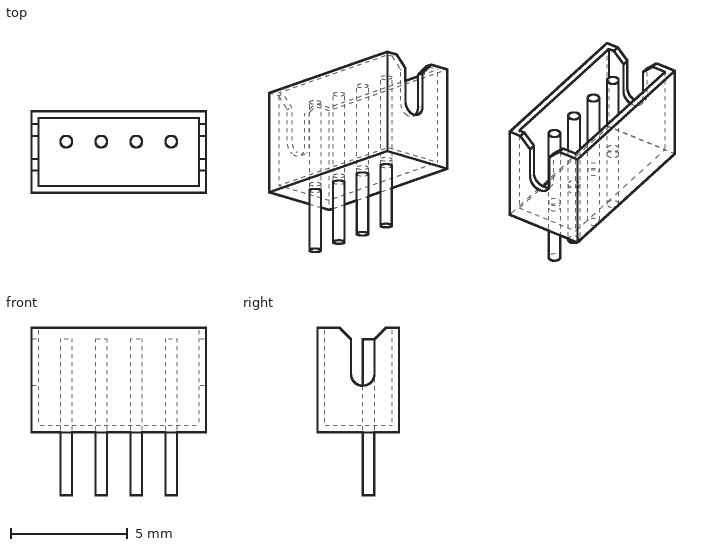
import cadquery as cq

length = 7.5
width = 3.5
height = 4.5
wall = 0.3
floor_thickness = wall

slot_width = 1.0
slot_depth = 2.5
slot_chamfer = 0.5
slot_y = 0.195

pin_count = 4
pin_pitch = 1.5
pin_diameter = 0.5
pin_tail = 2.7
pin_top_gap = 0.5
pin_y = slot_y + slot_width / 2 - pin_diameter / 2
pin_length = pin_tail + height - pin_top_gap
pin_positions = [((i - (pin_count - 1) / 2) * pin_pitch, pin_y) for i in range(pin_count)]


def make_pin(x, y):
    """A plain cylinder that passes through the housing floor."""
    return cq.Workplane("XY", origin=(x, y, -pin_tail)).circle(pin_diameter / 2).extrude(pin_length)


def make_slot_cutter():
    """Round-bottomed slot with a chamfered mouth, running along the whole length."""
    half_width = slot_width / 2
    mouth_half_width = half_width + slot_chamfer
    slot_bottom = height - slot_depth
    arc_ends_z = slot_bottom + half_width
    chamfer_z = height - slot_chamfer
    return (
        cq.Workplane("YZ", origin=(0, slot_y, 0))
        .moveTo(-mouth_half_width, height)
        .lineTo(-half_width, chamfer_z)
        .lineTo(-half_width, arc_ends_z)
        .threePointArc((0, slot_bottom), (half_width, arc_ends_z))
        .lineTo(half_width, chamfer_z)
        .lineTo(mouth_half_width, height)
        .close()
        .extrude(length / 2, both=True)
    )


def make_housing():
    """Box with a rectangular cavity, slotted end walls and pin holes in the floor."""
    cavity = (
        cq.Workplane("XY", origin=(0, 0, floor_thickness))
        .rect(length - 2 * wall, width - 2 * wall)
        .extrude(height - floor_thickness)
    )
    pin_holes = cq.Workplane("XY").pushPoints(pin_positions).circle(pin_diameter / 2).extrude(floor_thickness)
    box = cq.Workplane("XY").rect(length, width).extrude(height)
    return box.cut(cavity).cut(make_slot_cutter()).cut(pin_holes)


housing = make_housing()
pins = [make_pin(x, y) for x, y in pin_positions]

result = cq.Compound.makeCompound([housing.val(), *[pin.val() for pin in pins]])